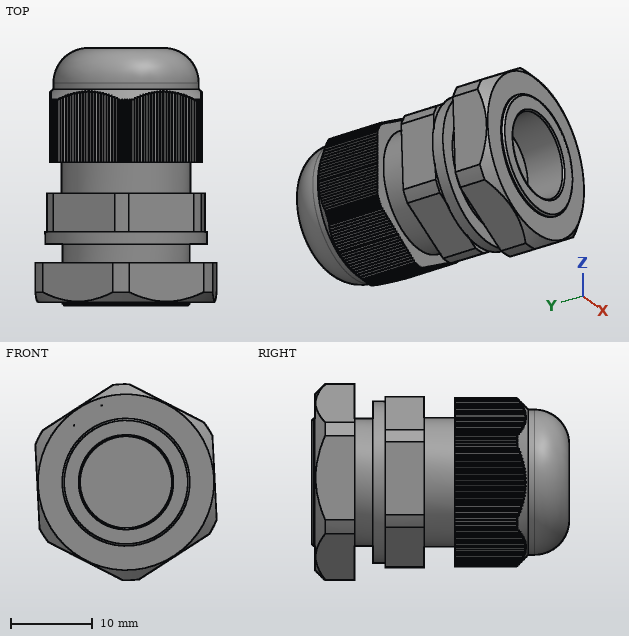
import cadquery as cq
import math


nut_front = 0.4
nut_back = 5.25
flange_front = 7.5
flange_back = 9.0
body_hex_back = 13.75
cap_front = 17.5
knurl_back = 26.46
dome_start = 27.2
total_length = 31.5

thread_diameter = 15.6
thread_chamfer = 0.25
bore_diameter = 11.2
bore_depth = 5.25
bore_chamfer = 0.2

flange_diameter = 19.8
neck_diameter = 15.8

hex_tilt = 2.9
body_hex_flats = 18.9
body_hex_corner_diameter = 20.9
nut_flats = 21.7
nut_corner_diameter = 24.0
nut_chamfer = 1.25

cap_flats = 18.65
cap_corner_diameter = 20.65
dome_diameter = 17.8
dome_radius = total_length - dome_start
teeth_per_half_flat = 11
flat_middle_land = 0.15
teeth_per_corner = 5

HEX_SIDES = 6
SIDE_ANGLE = 360 / HEX_SIDES


def along_y(shape_on_xy, y_start):
    """Turn a shape built upward from the XY plane so that it runs along +Y from y_start."""
    return shape_on_xy.rotate((0, 0, 0), (1, 0, 0), -90).translate((0, y_start, 0))


def cylinder(diameter, y_start, y_end):
    return along_y(cq.Workplane("XY").circle(diameter / 2).extrude(y_end - y_start), y_start)


def revolve_about_y(profile):
    """Revolve a closed (radius, y) profile about the Y axis."""
    return profile.revolve(360, (0, 0, 0), (0, 1, 0))


def rounded_hex(flats, corner_diameter, tilt, y_start, y_end):
    """Hexagonal prism whose corners are trimmed by a concentric cylinder."""
    sharp_diameter = flats / math.cos(math.radians(SIDE_ANGLE / 2))
    prism = cq.Workplane("XY").polygon(HEX_SIDES, sharp_diameter).extrude(y_end - y_start)
    corner_up = SIDE_ANGLE / 2
    prism = along_y(prism.rotate((0, 0, 0), (0, 0, 1), corner_up - tilt), y_start)
    return prism.intersect(cylinder(corner_diameter, y_start, y_end))


def make_tube():
    tube = cylinder(thread_diameter, 0, flange_front)
    return tube.faces("<Y").edges().chamfer(thread_chamfer)


def make_body():
    flange = cylinder(flange_diameter, flange_front, flange_back)
    hexagon = rounded_hex(body_hex_flats, body_hex_corner_diameter, hex_tilt, flange_back, body_hex_back)
    neck = cylinder(neck_diameter, body_hex_back, cap_front)
    return flange.union(hexagon).union(neck)


def make_nut():
    nut = rounded_hex(nut_flats, nut_corner_diameter, hex_tilt, nut_front, nut_back)
    envelope = cylinder(nut_corner_diameter, nut_front, nut_back)
    envelope = envelope.faces("<Y").edges().chamfer(nut_chamfer)
    return nut.intersect(envelope)


def knurl_outline():
    """Rounded hexagon lined with right-angled V teeth, their tips on the hexagon.

    A narrow land in the middle of each flat parts its two rows of teeth.
    """
    apothem = cap_flats / 2
    corner_radius = cap_corner_diameter / 2
    half_flat_angle = math.degrees(math.acos(apothem / corner_radius))
    half_flat = math.sqrt(corner_radius**2 - apothem**2)
    half_land = flat_middle_land / 2
    flat_pitch = (half_flat - half_land) / teeth_per_half_flat
    valley_apothem = apothem - flat_pitch / 2
    corner_step = (SIDE_ANGLE - 2 * half_flat_angle) / teeth_per_corner
    corner_pitch = corner_radius * math.radians(corner_step)
    corner_valley_radius = corner_radius - corner_pitch / 2

    flat_profile = []
    for half_start in (-half_flat, half_land):
        for tooth in range(teeth_per_half_flat):
            valley = half_start + tooth * flat_pitch
            flat_profile.append((valley_apothem, valley))
            flat_profile.append((apothem, valley + flat_pitch / 2))
        flat_profile.append((valley_apothem, half_start + half_flat - half_land))
    flat_profile.pop()

    points = []
    for side in range(HEX_SIDES):
        flat_angle = math.radians(side * SIDE_ANGLE)
        cos_flat = math.cos(flat_angle)
        sin_flat = math.sin(flat_angle)
        for out, across in flat_profile:
            points.append((out * cos_flat - across * sin_flat, out * sin_flat + across * cos_flat))
        corner_start = side * SIDE_ANGLE + half_flat_angle
        for tooth in range(teeth_per_corner):
            valley_angle = math.radians(corner_start + tooth * corner_step)
            tip_angle = math.radians(corner_start + (tooth + 0.5) * corner_step)
            for radius, angle in ((corner_valley_radius, valley_angle), (corner_radius, tip_angle)):
                points.append((radius * math.cos(angle), radius * math.sin(angle)))
    return points


def make_cap():
    knurl = along_y(
        cq.Workplane("XY").polyline(knurl_outline()).close().extrude(knurl_back - cap_front), cap_front
    )
    bevel = (cap_corner_diameter - dome_diameter) / 2
    envelope = cylinder(cap_corner_diameter, cap_front, knurl_back).faces(">Y").edges().chamfer(bevel)

    dome_outer = dome_diameter / 2
    dome_top = dome_outer - dome_radius
    arc_offset = dome_radius * math.sqrt(0.5)
    dome = revolve_about_y(
        cq.Workplane("XY")
        .moveTo(0, knurl_back)
        .lineTo(dome_outer, knurl_back)
        .lineTo(dome_outer, dome_start)
        .threePointArc((dome_top + arc_offset, dome_start + arc_offset), (dome_top, total_length))
        .lineTo(0, total_length)
        .close()
    )
    return knurl.intersect(envelope).union(dome)


def make_bore():
    bore_radius = bore_diameter / 2
    return revolve_about_y(
        cq.Workplane("XY").polyline([
            (0, 0),
            (bore_radius + bore_chamfer, 0),
            (bore_radius, bore_chamfer),
            (bore_radius, bore_depth),
            (0, bore_depth),
        ]).close()
    )


gland = make_tube().union(make_nut()).union(make_body()).union(make_cap())
result = gland.cut(make_bore())